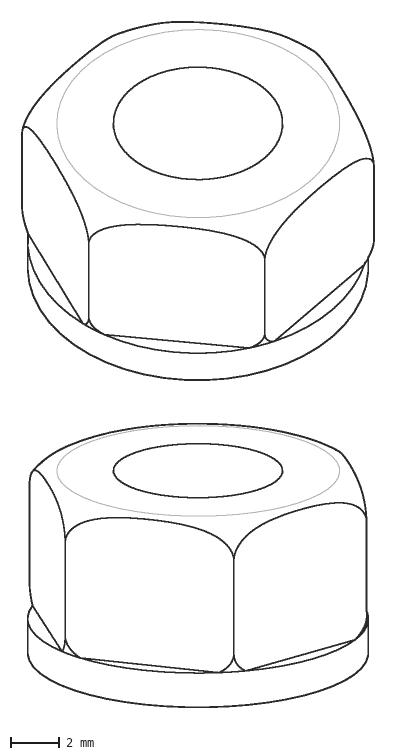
import cadquery as cq
import math

corner_diameter = 14.7
total_height = 7.95
collar_diameter = 14.1
collar_height = 1.5
bore_diameter = 7.0

round_radius = 1.5

corner_radius = corner_diameter / 2
collar_radius = collar_diameter / 2


def hexagon_prism():
    """Hexagon with corners on the Y axis and flats facing X."""
    return (
        cq.Workplane("XY")
        .workplane(offset=collar_height)
        .polygon(6, corner_diameter)
        .extrude(total_height - collar_height)
        .rotate((0, 0, 0), (0, 0, 1), 30)
    )


def corner_envelope():
    """Turned body that rounds the hexagon corners at the top and, down to the collar, at the bottom."""
    arc_center_radius = corner_radius - round_radius

    round_start = total_height - round_radius
    arc_offset = round_radius * math.sqrt(0.5)
    upper_middle = (arc_center_radius + arc_offset, round_start + arc_offset)

    lower_angle = math.acos((collar_radius - arc_center_radius) / round_radius)
    lower_round_top = collar_height + round_radius * math.sin(lower_angle)
    lower_middle = (
        arc_center_radius + round_radius * math.cos(lower_angle / 2),
        lower_round_top - round_radius * math.sin(lower_angle / 2),
    )

    return (
        cq.Workplane("XZ")
        .moveTo(0, collar_height)
        .lineTo(collar_radius, collar_height)
        .threePointArc(lower_middle, (corner_radius, lower_round_top))
        .lineTo(corner_radius, round_start)
        .threePointArc(upper_middle, (arc_center_radius, total_height))
        .lineTo(0, total_height)
        .close()
        .revolve(360, (0, 0, 0), (0, 1, 0))
    )


hexagon = hexagon_prism().intersect(corner_envelope())
collar = cq.Workplane("XY").circle(collar_radius).extrude(collar_height)
bore = cq.Workplane("XY").circle(bore_diameter / 2).extrude(total_height)

result = collar.union(hexagon).cut(bore)